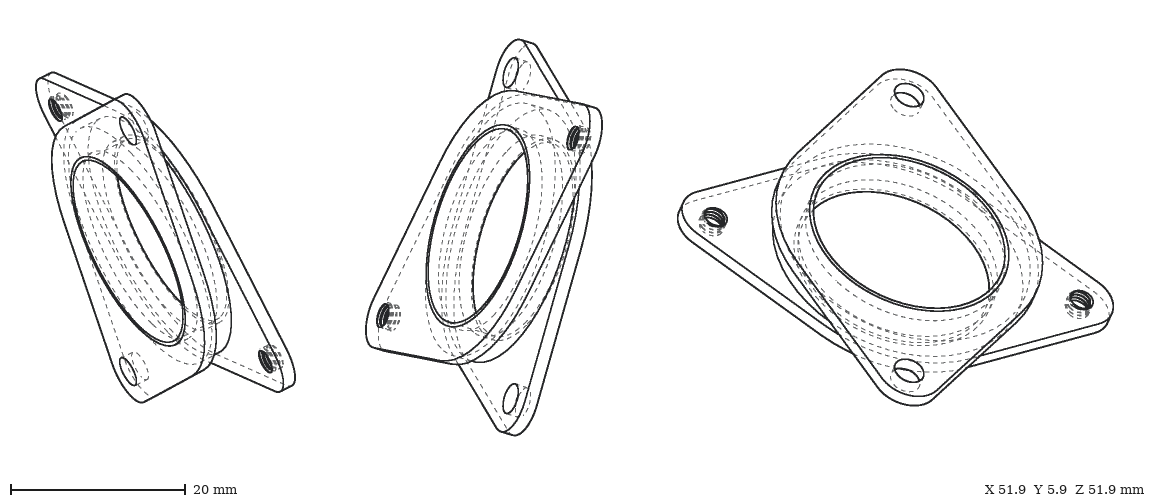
import cadquery as cq
import math

span = 51.85
total_depth = 5.9
flange_thickness = 1.6
hub_radius = 16.0
tip_radius = 3.95
bore_radius = 11.5
sleeve_radius = 12.0
collar_radius = 15.05
clearance_diameter = 3.5
thread_minor_diameter = 2.5
thread_major_diameter = 3.0
thread_pitch = 0.5

tip_distance = span / 2 - tip_radius
front_face = -total_depth / 2
collar_length = total_depth - 2 * flange_thickness
collar_start = front_face + flange_thickness
rear_start = collar_start + collar_length

groove_root_width = 0.06
groove_mouth_width = 0.4


def cylinder(radius, length, y_start, x=0, z=0):
    """Cylinder along +Y, starting at y_start."""
    return cq.Workplane(cq.Solid.makeCylinder(radius, length, cq.Vector(x, y_start, z), cq.Vector(0, 1, 0)))


def flange_blank(y_start):
    """Plate with its tips on the X axis and a hole for the sleeve."""
    tangent_cos = (hub_radius - tip_radius) / tip_distance
    tangent_sin = math.sqrt(1 - tangent_cos**2)
    hub_x = hub_radius * tangent_cos
    hub_z = hub_radius * tangent_sin
    tip_x = tip_distance + tip_radius * tangent_cos
    tip_z = tip_radius * tangent_sin
    outline = (
        cq.Workplane("XZ", origin=(0, y_start, 0))
        .moveTo(hub_x, hub_z)
        .lineTo(tip_x, tip_z)
        .threePointArc((span / 2, 0), (tip_x, -tip_z))
        .lineTo(hub_x, -hub_z)
        .threePointArc((0, -hub_radius), (-hub_x, -hub_z))
        .lineTo(-tip_x, -tip_z)
        .threePointArc((-span / 2, 0), (-tip_x, tip_z))
        .lineTo(-hub_x, hub_z)
        .threePointArc((0, hub_radius), (hub_x, hub_z))
        .close()
    )
    plate = outline.extrude(-flange_thickness)
    return plate.cut(cylinder(sleeve_radius, flange_thickness, y_start))


def thread_groove(x):
    """Right-hand helical V groove that runs past both faces of the rear flange."""
    wall = thread_minor_diameter / 2
    root = thread_major_diameter / 2
    length = flange_thickness + 2 * thread_pitch
    corners = [
        (wall, -groove_mouth_width / 2),
        (root, -groove_root_width / 2),
        (root, groove_root_width / 2),
        (wall, groove_mouth_width / 2),
    ]
    helices = [
        cq.Wire.makeHelix(thread_pitch, length, radius).translate(cq.Vector(0, 0, height))
        for radius, height in corners
    ]
    next_helices = helices[1:] + helices[:1]
    sides = [cq.Face.makeRuledSurface(a, b) for a, b in zip(helices, next_helices)]
    corner_points = [cq.Vector(radius, 0, height) for radius, height in corners]
    start_cap = cq.Face.makeFromWires(cq.Wire.makePolygon(corner_points, close=True))
    turn_angle = 360 * length / thread_pitch
    end_cap = start_cap.rotate(cq.Vector(0, 0, 0), cq.Vector(0, 0, 1), turn_angle)
    end_cap = end_cap.translate(cq.Vector(0, 0, length))
    groove = cq.Solid.makeSolid(cq.Shell.makeShell(sides + [start_cap, end_cap]))
    along_y = cq.Workplane(groove).rotate((0, 0, 0), (1, 0, 0), -90)
    return along_y.translate((x, rear_start - thread_pitch, 0))


def make_front_flange():
    """Flange with its tips on Z and plain clearance holes."""
    flange = flange_blank(front_face).rotate((0, 0, 0), (0, 1, 0), 90)
    for side in (-1, 1):
        hole = cylinder(clearance_diameter / 2, flange_thickness, front_face, z=side * tip_distance)
        flange = flange.cut(hole)
    return flange


def make_rear_flange():
    """Flange with its tips on X and threaded holes."""
    flange = flange_blank(rear_start)
    for side in (-1, 1):
        x = side * tip_distance
        flange = flange.cut(cylinder(thread_minor_diameter / 2, flange_thickness, rear_start, x=x))
        flange = flange.cut(thread_groove(x))
    return flange


def make_spacer():
    """Collar between the flanges, with sleeve ends flush with their outer faces."""
    sleeve = cylinder(sleeve_radius, total_depth, front_face)
    collar = cylinder(collar_radius, collar_length, collar_start)
    return sleeve.union(collar).cut(cylinder(bore_radius, total_depth, front_face))


front_flange = make_front_flange()
rear_flange = make_rear_flange()
spacer = make_spacer()

result = cq.Compound.makeCompound([front_flange.val(), rear_flange.val(), spacer.val()])